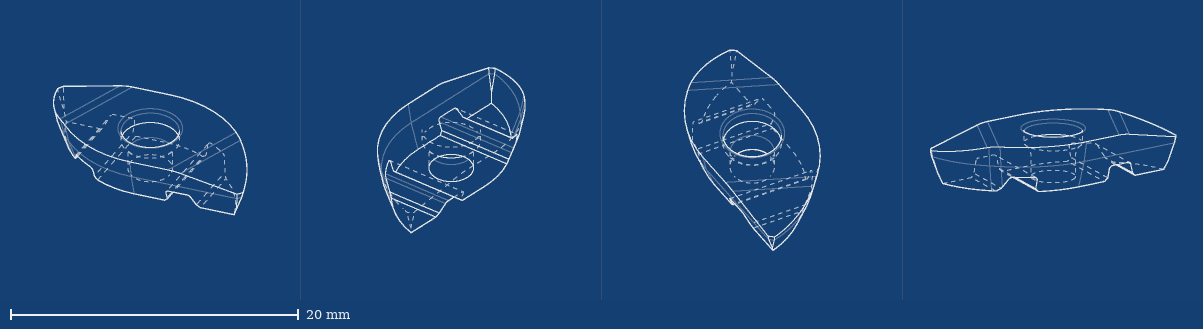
import math

import cadquery as cq

THICKNESS = 3.5
WAIST_HEIGHT = 2.0

UPPER_DRAFT = math.radians(11.0)
LOWER_DRAFT = math.radians(18.0)

TOP_OFFSET = (THICKNESS - WAIST_HEIGHT) * math.tan(UPPER_DRAFT)
BASE_OFFSET = -WAIST_HEIGHT * math.tan(LOWER_DRAFT)

BELLY_RADIUS = 7.32
BELLY_CENTER = (0.065, 3.54)
FLANK_ANGLE = math.radians(2.75)
LINK_LENGTH = 0.795
LINK_NORMAL_ANGLE = math.radians(-140.5)

BEVEL_ANGLE = math.radians(-45.0)
BEVEL_DISTANCE = 8.22

TIP_SLOPE = math.radians(15.0)
TIP_BLEND_RADIUS = 3.0
FOLD_NORMAL_ANGLE = math.radians(-31.8)
FOLD_DISTANCE = 4.73

HOLE_RADIUS = 1.55
BORE_RADIUS = 2.03
RIM_RADIUS = 2.25
RIM_DEPTH = RIM_RADIUS - BORE_RADIUS
SEAT_TOP = 2.45
SEAT_BOTTOM = 1.5

GROOVE_NORMAL_ANGLE = math.radians(-12.0)
GROOVE_DEPTH = 1.18
GROOVE_STEEP_SIDE = 2.85
GROOVE_FLOOR_WIDTH = 1.72
GROOVE_WALL_SLOPE = math.radians(22.0)
GROOVE_FILLET = 0.25
GROOVE_CHAMFER = 0.25

REACH = 12.0


def polar(center, radius, angle):
    """Point at a radius and angle from a center."""
    return (center[0] + radius * math.cos(angle), center[1] + radius * math.sin(angle))


def opposite(point):
    """Point turned 180 degrees about Z."""
    return (-point[0], -point[1])


def with_opposite(shape):
    """Shape joined with its copy turned 180 degrees about Z."""
    return shape.union(shape.rotate((0, 0, 0), (0, 0, 1), 180))


def outline(height, offset):
    """Closed outline at a height, moved outward from the waist outline by an offset."""
    radius = BELLY_RADIUS + offset
    flank_normal = -math.pi / 2 - FLANK_ANGLE
    nose_center = polar(BELLY_CENTER, LINK_LENGTH, LINK_NORMAL_ANGLE - math.pi / 2)

    belly_start = polar(BELLY_CENTER, radius, flank_normal)
    belly_middle = polar(BELLY_CENTER, radius, (flank_normal + LINK_NORMAL_ANGLE) / 2)
    belly_end = polar(BELLY_CENTER, radius, LINK_NORMAL_ANGLE)
    nose_start = polar(nose_center, radius, LINK_NORMAL_ANGLE)

    opposite_normal = flank_normal + math.pi
    flank_distance = (
        BELLY_CENTER[0] * math.cos(flank_normal) + BELLY_CENTER[1] * math.sin(flank_normal) + radius
    )
    center_distance = nose_center[0] * math.cos(opposite_normal) + nose_center[1] * math.sin(opposite_normal)
    corner_angle = opposite_normal + math.acos((flank_distance - center_distance) / radius) - 2 * math.pi
    nose_middle = polar(nose_center, radius, (LINK_NORMAL_ANGLE + corner_angle) / 2)
    corner = polar(nose_center, radius, corner_angle)

    return (
        cq.Workplane("XY", origin=(0, 0, height))
        .moveTo(*opposite(corner))
        .lineTo(*belly_start)
        .threePointArc(belly_middle, belly_end)
        .lineTo(*nose_start)
        .threePointArc(nose_middle, corner)
        .lineTo(*opposite(belly_start))
        .threePointArc(opposite(belly_middle), opposite(belly_end))
        .lineTo(*opposite(nose_start))
        .threePointArc(opposite(nose_middle), opposite(corner))
        .close()
        .val()
    )


def drafted_body():
    """Body with two drafts, ruled between the base, waist and top outlines."""
    base = outline(0, BASE_OFFSET)
    waist = outline(WAIST_HEIGHT, 0)
    top = outline(THICKNESS, TOP_OFFSET)
    lower = cq.Solid.makeLoft([base, waist], True)
    upper = cq.Solid.makeLoft([waist, top], True)
    return cq.Workplane(lower).union(cq.Workplane(upper))


def section_plane(normal_angle):
    """Upright plane whose local x points along a plan direction and local y points up."""
    return cq.Workplane(
        cq.Plane(
            origin=(0, 0, 0),
            xDir=(math.cos(normal_angle), math.sin(normal_angle), 0),
            normal=(math.sin(normal_angle), -math.cos(normal_angle), 0),
        )
    )


def corner_bevels():
    """Cutters that bevel the two pointed corners with the same drafts as the walls."""
    cutter = (
        section_plane(BEVEL_ANGLE)
        .moveTo(BEVEL_DISTANCE + BASE_OFFSET, 0)
        .lineTo(BEVEL_DISTANCE, WAIST_HEIGHT)
        .lineTo(BEVEL_DISTANCE + TOP_OFFSET, THICKNESS)
        .lineTo(REACH, THICKNESS)
        .lineTo(REACH, 0)
        .close()
        .extrude(REACH, both=True)
    )
    return with_opposite(cutter)


def tip_slopes():
    """Cutters for the sloped tip faces, blended into the flat top by an arc."""
    tangent = TIP_BLEND_RADIUS * math.tan(TIP_SLOPE / 2)
    blend_start = FOLD_DISTANCE - tangent
    blend_center = (blend_start, THICKNESS - TIP_BLEND_RADIUS)
    blend_middle = polar(blend_center, TIP_BLEND_RADIUS, math.pi / 2 - TIP_SLOPE / 2)
    blend_end = polar(blend_center, TIP_BLEND_RADIUS, math.pi / 2 - TIP_SLOPE)
    outer_height = THICKNESS - (REACH - FOLD_DISTANCE) * math.tan(TIP_SLOPE)
    cutter = (
        section_plane(FOLD_NORMAL_ANGLE)
        .moveTo(blend_start, THICKNESS)
        .threePointArc(blend_middle, blend_end)
        .lineTo(REACH, outer_height)
        .lineTo(REACH, THICKNESS)
        .close()
        .extrude(REACH, both=True)
    )
    return with_opposite(cutter)


def screw_hole():
    """Turned cutter: rounded rim, upper bore, convex screw seat and through hole."""
    seat_height = SEAT_TOP - SEAT_BOTTOM
    seat_inset = BORE_RADIUS - HOLE_RADIUS
    seat_radius = (seat_inset**2 + seat_height**2) / (2 * seat_inset)
    seat_center = (HOLE_RADIUS + seat_radius, SEAT_BOTTOM)
    seat_sweep = math.asin(seat_height / seat_radius)
    seat_middle = polar(seat_center, seat_radius, math.pi - seat_sweep / 2)

    rim_center = (RIM_RADIUS, THICKNESS - RIM_DEPTH)
    rim_middle = polar(rim_center, RIM_DEPTH, 3 * math.pi / 4)
    return (
        cq.Workplane("XZ")
        .lineTo(HOLE_RADIUS, 0)
        .lineTo(HOLE_RADIUS, SEAT_BOTTOM)
        .threePointArc(seat_middle, (BORE_RADIUS, SEAT_TOP))
        .lineTo(BORE_RADIUS, THICKNESS - RIM_DEPTH)
        .threePointArc(rim_middle, (RIM_RADIUS, THICKNESS))
        .lineTo(0, THICKNESS)
        .close()
        .revolve(360, (0, 0, 0), (0, 1, 0))
    )


def locating_grooves():
    """Cutters for the two underside grooves, each with one upright and one sloped wall."""
    upright = -GROOVE_STEEP_SIDE
    floor_end = upright - GROOVE_FLOOR_WIDTH
    slope_foot = floor_end - (GROOVE_DEPTH - GROOVE_CHAMFER) * math.tan(GROOVE_WALL_SLOPE)
    groove = (
        section_plane(GROOVE_NORMAL_ANGLE)
        .moveTo(upright + GROOVE_CHAMFER, 0)
        .lineTo(upright, GROOVE_CHAMFER)
        .lineTo(upright, GROOVE_DEPTH)
        .lineTo(floor_end, GROOVE_DEPTH)
        .lineTo(slope_foot, GROOVE_CHAMFER)
        .lineTo(slope_foot - GROOVE_CHAMFER, 0)
        .close()
        .extrude(REACH, both=True)
    )
    along_groove = cq.Vector(math.sin(GROOVE_NORMAL_ANGLE), -math.cos(GROOVE_NORMAL_ANGLE), 0)
    floor_edges = cq.selectors.ParallelDirSelector(along_groove)
    groove = groove.faces(">Z").edges(floor_edges).fillet(GROOVE_FILLET)
    return with_opposite(groove)


result = (
    drafted_body()
    .cut(corner_bevels())
    .cut(tip_slopes())
    .cut(screw_hole())
    .cut(locating_grooves())
)